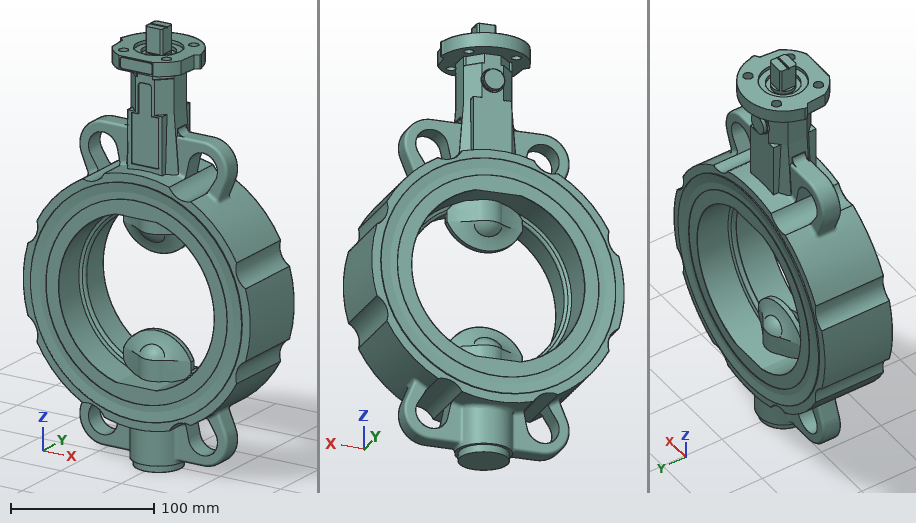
import math

import cadquery as cq


TOLERANCE = 0.01

BODY_RADIUS = 94.0
BODY_HALF_WIDTH = 28.5
HALF_LENGTH = 29.5
LINER_RIM_RADIUS = 87.4
SEALING_FACE_OUTER_RADIUS = 80.0
SEALING_FACE_INNER_RADIUS = 75.0
SEALING_FACE_RECESS = 0.5
RIM_WIDTH = 0.6

MOUTH_RADIUS = 65.0
MOUTH_CHAMFER = 0.7
SEAT_SHOULDER_RADIUS = 62.0
SEAT_SHOULDER_HALF_WIDTH = 2.0
SEAT_RADIUS = 60.0
SEAT_HALF_WIDTH = 3.0
SHAFT_FLAT_HEIGHT = 62.2

BOLT_COUNT = 8
BOLT_CIRCLE_RADIUS = 105.0
BOLT_GROOVE_RADIUS = 15.0
BOLT_PITCH = 360.0 / BOLT_COUNT
LUG_ANGLE = BOLT_PITCH / 2
LUG_CENTRE_RADIUS = 108.0
LUG_RADIUS = 20.1
LUG_HOLE_RADIUS = 12.0
LUG_HALF_WIDTH = 7.5
LUG_EDGE_RADIUS = 2.0
ROOT_FILLET = 2.8
NECK_WEB_RADIUS = 5.0
LUG_ROOT_RADIUS = 88.0

NECK_HALF_WIDTH = 17.9
NECK_FLAT_HALF_WIDTH = 8.0
NECK_STEP_Z = 136.5
NECK_BASE_HALF_WIDTH = 21.8
NECK_BASE_FLAT_HALF_WIDTH = 9.1
PLATE_HALF_WIDTH = 14.3
WINDOW_HALF_WIDTH = 11.3
WINDOW_BOTTOM_Z = 97.2
WINDOW_TOP_Z = 135.0
WINDOW_SLOT_HALF_WIDTH = 5.6
WINDOW_SLOT_TOP_Z = 158.4
WINDOW_SLOT_CORNER_RADIUS = 2.5
WINDOW_CORNER_RADIUS = 1.0
WINDOW_DEPTH = 1.0
NUT_RELIEF_BOTTOM_Z = 162.5
NUT_RELIEF_FLAT_HALF_WIDTH = 6.2
PLUG_RADIUS = 7.6
PLUG_CENTRE_Z = 150.0
PLUG_FACE_Y = 21.7
PLUG_COLLAR_RADIUS = 8.6
PLUG_COLLAR_HEIGHT = 1.0

FLANGE_TOP_Z = 180.0
FLANGE_THICKNESS = 10.4
FLANGE_RADIUS = 32.5
FLANGE_SIDE_HALF_WIDTH = 28.4
FLANGE_FRONT_DISTANCE = 29.3
FLANGE_EAR_HALF_WIDTH = 33.0
FLANGE_EAR_ROOT_Y = 6.5
FLANGE_EAR_TOP_Y = 4.0
FLANGE_EAR_BOTTOM_Y = 2.0
FLANGE_STEP_Y = -0.5
FLANGE_STEP_HALF_WIDTH = 29.6
FLANGE_HOLE_DIAMETER = 7.0
FLANGE_HOLE_CIRCLE_DIAMETER = 50.0
FLANGE_HOLE_PITCH = FLANGE_HOLE_CIRCLE_DIAMETER / math.sqrt(2)
LABEL_HALF_WIDTH = 13.2
LABEL_HEIGHT = 8.4
LABEL_CORNER_RADIUS = 1.5
LABEL_DEPTH = 0.5
SPIGOT_RECESS_DIAMETER = 35.0
SPIGOT_RECESS_DEPTH = 2.5
BUSH_RECESS_DIAMETER = 25.0
BUSH_RECESS_DEPTH = 5.0

STEM_TOP_Z = 196.37
STEM_DIAMETER = 18.0
STEM_SQUARE = 14.0
STEM_MARK_WIDTH = 1.0
STEM_MARK_DEPTH = 0.8

BOSS_RADIUS = 20.2
BOSS_BOTTOM_Z = -122.5
BOSS_END_RADIUS = 17.9
BOTTOM_Z = -128.0

HUB_RADIUS = 14.19
HUB_SHOULDER_Z = 46.6
HUB_DOME_HEIGHT = 10.0
LENS_RADIUS = 30.8
LENS_CENTRE_Z = 59.5
LENS_RIM_HALF = 2.0
LENS_MIDDLE_RADIUS = 21.2
LENS_MIDDLE_HALF = 6.2
LENS_THICK_RADIUS = LENS_CENTRE_Z - HUB_SHOULDER_Z
LENS_THICK_HALF = 14.1


def polar(radius, angle):
    """Point at an angle from the +Z axis towards +X, as (x, z)."""
    turn = math.radians(angle)
    return radius * math.sin(turn), radius * math.cos(turn)


def along_bore(half_width):
    """XZ sketch plane whose extrusion by twice half_width is centred on the shaft plane."""
    return cq.Workplane("XZ", origin=(0, half_width, 0))


def disc(radius, half_width):
    return along_bore(half_width).circle(radius).extrude(2 * half_width)


def post(radius, bottom, top):
    return cq.Workplane("XY", origin=(0, 0, bottom)).circle(radius).extrude(top - bottom)


def both_sides(shape, plane):
    return shape.union(shape.mirror(plane))


def fillet_edges(shape, is_wanted, radius):
    """Round the edges of a shape that pass a test."""
    wanted = [edge for edge in shape.edges().vals() if is_wanted(edge)]
    return shape.newObject(wanted).fillet(radius)


def is_lug_rim(edge, root_z):
    """True for the free front and back edges of a lug, away from the shaft and the root."""
    centre = edge.Center()
    is_on_face = edge.BoundingBox().ylen < TOLERANCE
    return is_on_face and centre.x > TOLERANCE and centre.z > root_z + TOLERANCE


def is_lug_root(edge):
    """True for edges where a lug meets the cylinder of the ring."""
    points = [edge.positionAt(share) for share in (0, 0.5, 1)]
    return all(
        abs(math.hypot(point.x, point.z) - BODY_RADIUS) < TOLERANCE
        and abs(point.y) < LUG_HALF_WIDTH + TOLERANCE
        for point in points
    )


def is_boss_root(edge):
    """True for the upright edges where a lug meets the bottom boss."""
    centre = edge.Center()
    return (
        edge.geomType() == "LINE"
        and edge.BoundingBox().zlen > LUG_RADIUS
        and centre.z < -BODY_RADIUS
        and abs(math.hypot(centre.x, centre.y) - BOSS_RADIUS) < TOLERANCE
    )


def make_lug():
    """One lug, with its straight side along the bolt radius and its top square to the shaft."""
    centre_x, centre_z = polar(LUG_CENTRE_RADIUS, LUG_ANGLE)
    tangent_x, tangent_z = polar(LUG_RADIUS, LUG_ANGLE + 90)
    middle_x, middle_z = polar(LUG_RADIUS, (LUG_ANGLE + 90) / 2)
    side_length = LUG_CENTRE_RADIUS - LUG_ROOT_RADIUS
    inward_x, inward_z = polar(side_length, LUG_ANGLE)
    side = (centre_x + tangent_x, centre_z + tangent_z)
    root = (side[0] - inward_x, side[1] - inward_z)
    outline = (
        along_bore(LUG_HALF_WIDTH)
        .moveTo(0, centre_z + LUG_RADIUS)
        .lineTo(centre_x, centre_z + LUG_RADIUS)
        .threePointArc((centre_x + middle_x, centre_z + middle_z), side)
        .lineTo(*root)
        .lineTo(0, root[1])
        .close()
    )
    lug = outline.extrude(2 * LUG_HALF_WIDTH)
    return fillet_edges(lug, lambda edge: is_lug_rim(edge, root[1]), LUG_EDGE_RADIUS)


def make_lugs():
    return both_sides(both_sides(make_lug(), "YZ"), "XY")


def octagon(plane, half_width, flat_half_x, flat_half_y):
    half_depth = NECK_HALF_WIDTH
    return plane.polyline(
        [
            (half_width, -flat_half_y),
            (half_width, flat_half_y),
            (flat_half_x, half_depth),
            (-flat_half_x, half_depth),
            (-half_width, flat_half_y),
            (-half_width, -flat_half_y),
            (-flat_half_x, -half_depth),
            (flat_half_x, -half_depth),
        ]
    ).close()


def make_neck():
    """Octagonal neck that widens towards the ring, with a plate on its front and back."""
    flat = NECK_FLAT_HALF_WIDTH
    flange_bottom = FLANGE_TOP_Z - FLANGE_THICKNESS
    step_plane = cq.Workplane("XY", origin=(0, 0, NECK_STEP_Z))
    shaft = octagon(step_plane, NECK_HALF_WIDTH, flat, flat).extrude(flange_bottom - NECK_STEP_Z)
    base_plane = cq.Workplane("XY", origin=(0, 0, LUG_ROOT_RADIUS))
    base = octagon(base_plane, NECK_BASE_HALF_WIDTH, NECK_BASE_FLAT_HALF_WIDTH, flat)
    base = octagon(
        base.workplane(offset=NECK_STEP_Z - LUG_ROOT_RADIUS), NECK_HALF_WIDTH, flat, flat
    ).loft(ruled=True)
    plate = base_plane.rect(2 * PLATE_HALF_WIDTH, 2 * NECK_HALF_WIDTH).extrude(
        NECK_STEP_Z - LUG_ROOT_RADIUS
    )
    return shaft.union(base).union(plate)


def make_neck_web():
    """Concave blends between the tops of the upper lugs and the sides of the neck."""
    lug_top = polar(LUG_CENTRE_RADIUS, LUG_ANGLE)[1] + LUG_RADIUS
    rise = (lug_top - LUG_ROOT_RADIUS) / (NECK_STEP_Z - LUG_ROOT_RADIUS)
    neck_side = NECK_BASE_HALF_WIDTH + rise * (NECK_HALF_WIDTH - NECK_BASE_HALF_WIDTH)
    web_half_width = LUG_HALF_WIDTH - LUG_EDGE_RADIUS
    outer = neck_side + NECK_WEB_RADIUS
    shoulder = outer - NECK_WEB_RADIUS * math.cos(math.pi / 4)
    arc_bottom = lug_top + NECK_WEB_RADIUS * (1 - math.sin(math.pi / 4))
    web = (
        along_bore(web_half_width)
        .moveTo(0, lug_top - NECK_WEB_RADIUS)
        .lineTo(outer, lug_top - NECK_WEB_RADIUS)
        .lineTo(outer, lug_top)
        .threePointArc((shoulder, arc_bottom), (neck_side, lug_top + NECK_WEB_RADIUS))
        .lineTo(0, lug_top + NECK_WEB_RADIUS)
        .close()
        .extrude(2 * web_half_width)
    )
    return both_sides(web, "YZ")


def make_ring_with_lugs():
    ring = disc(BODY_RADIUS, BODY_HALF_WIDTH).union(make_lugs())
    return fillet_edges(ring, is_lug_root, ROOT_FILLET)


def make_liner():
    """Liner faces: a raised rim, a cone down to a shallow land, and a flat sealing face."""
    land = HALF_LENGTH - 2 * SEALING_FACE_RECESS
    half = [
        (0, 0),
        (LINER_RIM_RADIUS, 0),
        (LINER_RIM_RADIUS, HALF_LENGTH),
        (LINER_RIM_RADIUS - RIM_WIDTH, HALF_LENGTH),
        (SEALING_FACE_OUTER_RADIUS, land),
        (SEALING_FACE_INNER_RADIUS, land),
        (SEALING_FACE_INNER_RADIUS, HALF_LENGTH - SEALING_FACE_RECESS),
        (0, HALF_LENGTH - SEALING_FACE_RECESS),
    ]
    return both_sides(cq.Workplane("XY").polyline(half).close().revolve(360, (0, 0), (0, 1)), "XZ")


def make_bore():
    """Straight bore with chamfered mouths, a raised seat in the middle and a flat at each shaft end."""
    bore = (
        cq.Workplane("XY")
        .moveTo(0, -HALF_LENGTH)
        .lineTo(MOUTH_RADIUS, -HALF_LENGTH)
        .lineTo(MOUTH_RADIUS - MOUTH_CHAMFER, MOUTH_CHAMFER - HALF_LENGTH)
        .lineTo(MOUTH_RADIUS - MOUTH_CHAMFER, -SEAT_HALF_WIDTH)
        .lineTo(SEAT_SHOULDER_RADIUS, -SEAT_SHOULDER_HALF_WIDTH)
        .threePointArc((SEAT_RADIUS, 0), (SEAT_SHOULDER_RADIUS, SEAT_SHOULDER_HALF_WIDTH))
        .lineTo(MOUTH_RADIUS - MOUTH_CHAMFER, SEAT_HALF_WIDTH)
        .lineTo(MOUTH_RADIUS - MOUTH_CHAMFER, HALF_LENGTH - MOUTH_CHAMFER)
        .lineTo(MOUTH_RADIUS, HALF_LENGTH)
        .lineTo(0, HALF_LENGTH)
        .close()
        .revolve(360, (0, 0), (0, 1))
    )
    between_flats = cq.Workplane("XY").box(2 * MOUTH_RADIUS, 2 * HALF_LENGTH, 2 * SHAFT_FLAT_HEIGHT)
    return bore.intersect(between_flats)


def cut_bolt_openings(body):
    """Cut a groove across the ring at each bolt, and a tapered hole through each lug into it."""
    ring_space = disc(BODY_RADIUS, HALF_LENGTH)
    groove = along_bore(HALF_LENGTH).center(0, BOLT_CIRCLE_RADIUS).circle(BOLT_GROOVE_RADIUS)
    groove = groove.extrude(2 * HALF_LENGTH).intersect(ring_space)

    groove_edge_z = (BOLT_CIRCLE_RADIUS**2 + BODY_RADIUS**2 - BOLT_GROOVE_RADIUS**2) / (
        2 * BOLT_CIRCLE_RADIUS
    )
    groove_edge_x = math.sqrt(BODY_RADIUS**2 - groove_edge_z**2)
    taper = math.atan2(LUG_HOLE_RADIUS - groove_edge_x, LUG_CENTRE_RADIUS - groove_edge_z)
    tangent_x = LUG_HOLE_RADIUS * math.cos(taper)
    tangent_z = LUG_CENTRE_RADIUS - LUG_HOLE_RADIUS * math.sin(taper)
    hole = (
        along_bore(LUG_HALF_WIDTH + ROOT_FILLET)
        .moveTo(groove_edge_x, groove_edge_z)
        .lineTo(tangent_x, tangent_z)
        .threePointArc((0, LUG_CENTRE_RADIUS + LUG_HOLE_RADIUS), (-tangent_x, tangent_z))
        .lineTo(-groove_edge_x, groove_edge_z)
        .close()
        .extrude(2 * (LUG_HALF_WIDTH + ROOT_FILLET))
    )

    for index in range(BOLT_COUNT):
        angle = LUG_ANGLE + index * BOLT_PITCH
        body = body.cut(groove.rotate((0, 0, 0), (0, 1, 0), angle))
    for angle in (LUG_ANGLE, 180 - LUG_ANGLE, 180 + LUG_ANGLE, -LUG_ANGLE):
        body = body.cut(hole.rotate((0, 0, 0), (0, 1, 0), angle))
    return body


def make_neck_window():
    """Shallow T-shaped recess in the front plate of the neck."""
    depth_plane = cq.Workplane("XZ", origin=(0, WINDOW_DEPTH - NECK_HALF_WIDTH, 0))
    panel_height = WINDOW_TOP_Z - WINDOW_BOTTOM_Z
    panel = (
        depth_plane.center(0, WINDOW_BOTTOM_Z + panel_height / 2)
        .rect(2 * WINDOW_HALF_WIDTH, panel_height)
        .extrude(WINDOW_DEPTH)
        .edges("|Y and <Z")
        .fillet(WINDOW_CORNER_RADIUS)
    )
    slot = (
        depth_plane.center(0, WINDOW_TOP_Z + (WINDOW_SLOT_TOP_Z - WINDOW_TOP_Z) / 2)
        .rect(2 * WINDOW_SLOT_HALF_WIDTH, WINDOW_SLOT_TOP_Z - WINDOW_TOP_Z)
        .extrude(WINDOW_DEPTH)
        .edges("|Y and >Z")
        .fillet(WINDOW_SLOT_CORNER_RADIUS)
    )
    return panel.union(slot)


def cut_nut_reliefs(body):
    """Deepen the four diagonal faces of the neck below the flange."""
    flat = NUT_RELIEF_FLAT_HALF_WIDTH
    face_shift = NECK_HALF_WIDTH - NECK_FLAT_HALF_WIDTH
    relief = (
        cq.Workplane("XY", origin=(0, 0, NUT_RELIEF_BOTTOM_Z))
        .moveTo(flat, NECK_HALF_WIDTH)
        .lineTo(flat + face_shift, NECK_HALF_WIDTH - face_shift)
        .lineTo(NECK_HALF_WIDTH, NECK_HALF_WIDTH - face_shift)
        .lineTo(NECK_HALF_WIDTH, NECK_HALF_WIDTH)
        .close()
        .extrude(FLANGE_TOP_Z - FLANGE_THICKNESS - NUT_RELIEF_BOTTOM_Z)
    )
    return body.cut(both_sides(both_sides(relief, "YZ"), "XZ"))


def make_plug():
    """Round plug on a low collar, on the back of the neck."""
    collar_face = NECK_HALF_WIDTH + PLUG_COLLAR_HEIGHT
    sketch = cq.Workplane("XZ", origin=(0, 0, PLUG_CENTRE_Z))
    plug = sketch.circle(PLUG_RADIUS).extrude(-PLUG_FACE_Y)
    return plug.union(sketch.circle(PLUG_COLLAR_RADIUS).extrude(-collar_face))


def make_flange():
    """Round flange with a front flat, trimmed front sides, a small ear each side and four bolt holes."""
    bottom = cq.Workplane("XY", origin=(0, 0, FLANGE_TOP_Z - FLANGE_THICKNESS))
    side_y = math.sqrt(FLANGE_RADIUS**2 - FLANGE_SIDE_HALF_WIDTH**2)
    front_x = math.sqrt(FLANGE_RADIUS**2 - FLANGE_FRONT_DISTANCE**2)
    corner = FLANGE_RADIUS / math.sqrt(2)
    root_x = math.sqrt(FLANGE_RADIUS**2 - FLANGE_EAR_ROOT_Y**2)
    flange = (
        bottom.moveTo(root_x, FLANGE_EAR_ROOT_Y)
        .threePointArc((0, FLANGE_RADIUS), (-root_x, FLANGE_EAR_ROOT_Y))
        .lineTo(-FLANGE_EAR_HALF_WIDTH, FLANGE_EAR_TOP_Y)
        .lineTo(-FLANGE_EAR_HALF_WIDTH, FLANGE_EAR_BOTTOM_Y)
        .lineTo(-FLANGE_STEP_HALF_WIDTH, FLANGE_STEP_Y)
        .lineTo(-FLANGE_SIDE_HALF_WIDTH, -side_y)
        .threePointArc((-corner, -corner), (-front_x, -FLANGE_FRONT_DISTANCE))
        .lineTo(front_x, -FLANGE_FRONT_DISTANCE)
        .threePointArc((corner, -corner), (FLANGE_SIDE_HALF_WIDTH, -side_y))
        .lineTo(FLANGE_STEP_HALF_WIDTH, FLANGE_STEP_Y)
        .lineTo(FLANGE_EAR_HALF_WIDTH, FLANGE_EAR_BOTTOM_Y)
        .lineTo(FLANGE_EAR_HALF_WIDTH, FLANGE_EAR_TOP_Y)
        .close()
        .extrude(FLANGE_THICKNESS)
    )
    holes = (
        bottom.rect(FLANGE_HOLE_PITCH, FLANGE_HOLE_PITCH, forConstruction=True)
        .vertices()
        .circle(FLANGE_HOLE_DIAMETER / 2)
        .extrude(FLANGE_THICKNESS)
    )
    label = (
        cq.Workplane("XZ", origin=(0, LABEL_DEPTH - FLANGE_FRONT_DISTANCE, 0))
        .center(0, FLANGE_TOP_Z - FLANGE_THICKNESS / 2)
        .rect(2 * LABEL_HALF_WIDTH, LABEL_HEIGHT)
        .extrude(LABEL_DEPTH)
        .edges("|Y")
        .fillet(LABEL_CORNER_RADIUS)
    )
    return flange.cut(holes).cut(label)


def cut_stem_recesses(body):
    spigot_bottom = FLANGE_TOP_Z - SPIGOT_RECESS_DEPTH
    spigot = post(SPIGOT_RECESS_DIAMETER / 2, spigot_bottom, FLANGE_TOP_Z)
    bush = post(BUSH_RECESS_DIAMETER / 2, FLANGE_TOP_Z - BUSH_RECESS_DEPTH, FLANGE_TOP_Z)
    return body.cut(spigot).cut(bush)


def make_stem():
    """Square stem with rounded corners, a round foot and a mark across its end."""
    foot_bottom = FLANGE_TOP_Z - BUSH_RECESS_DEPTH
    foot_top = FLANGE_TOP_Z - SPIGOT_RECESS_DEPTH
    foot = post(STEM_DIAMETER / 2, foot_bottom, foot_top)
    square = cq.Workplane("XY", origin=(0, 0, foot_bottom)).rect(STEM_SQUARE, STEM_SQUARE)
    square = square.extrude(STEM_TOP_Z - foot_bottom)
    square = square.intersect(post(STEM_DIAMETER / 2, foot_bottom, STEM_TOP_Z))
    mark = cq.Workplane("XY", origin=(0, 0, STEM_TOP_Z - STEM_MARK_DEPTH))
    mark = mark.rect(STEM_DIAMETER, STEM_MARK_WIDTH).extrude(STEM_MARK_DEPTH)
    return foot.union(square.cut(mark))


def make_hub():
    """Hub of the disc on the shaft axis: a domed cylinder in a thin, concave-sided lens."""
    hub = post(HUB_RADIUS, HUB_SHOULDER_Z, MOUTH_RADIUS)
    dome_radius = (HUB_RADIUS**2 + HUB_DOME_HEIGHT**2) / (2 * HUB_DOME_HEIGHT)
    dome_centre_z = HUB_SHOULDER_Z - HUB_DOME_HEIGHT + dome_radius
    dome = cq.Workplane("XY", origin=(0, 0, dome_centre_z)).sphere(dome_radius)
    dome = dome.intersect(post(HUB_RADIUS, 0, HUB_SHOULDER_Z))

    lens = (
        cq.Workplane("XY")
        .moveTo(0, -LENS_THICK_HALF)
        .lineTo(LENS_THICK_RADIUS, -LENS_THICK_HALF)
        .threePointArc((LENS_MIDDLE_RADIUS, -LENS_MIDDLE_HALF), (LENS_RADIUS, -LENS_RIM_HALF))
        .lineTo(LENS_RADIUS, LENS_RIM_HALF)
        .threePointArc((LENS_MIDDLE_RADIUS, LENS_MIDDLE_HALF), (LENS_THICK_RADIUS, LENS_THICK_HALF))
        .lineTo(0, LENS_THICK_HALF)
        .close()
        .revolve(360, (0, 0), (0, 1))
        .translate((0, 0, LENS_CENTRE_Z))
    )
    lens = lens.intersect(post(BODY_RADIUS, 0, HUB_SHOULDER_Z))
    web = lens.faces(">Z").wires().toPending().extrude(LUG_ROOT_RADIUS - HUB_SHOULDER_Z, combine=False)
    return hub.union(dome).union(lens).union(web)


def make_body():
    body = make_ring_with_lugs().union(make_neck()).union(make_neck_web())
    body = body.union(post(BOSS_RADIUS, BOSS_BOTTOM_Z, -LUG_ROOT_RADIUS))
    body = fillet_edges(body, is_boss_root, ROOT_FILLET)
    body = body.union(post(BOSS_END_RADIUS, BOTTOM_Z, BOSS_BOTTOM_Z))
    body = cut_bolt_openings(body)
    body = body.union(make_liner())
    body = cut_nut_reliefs(body).cut(make_neck_window()).union(make_plug())
    body = cut_stem_recesses(body.union(make_flange())).union(make_stem())
    return body.cut(make_bore())


hub = make_hub()
result = make_body().union(hub).union(hub.mirror("XY"))